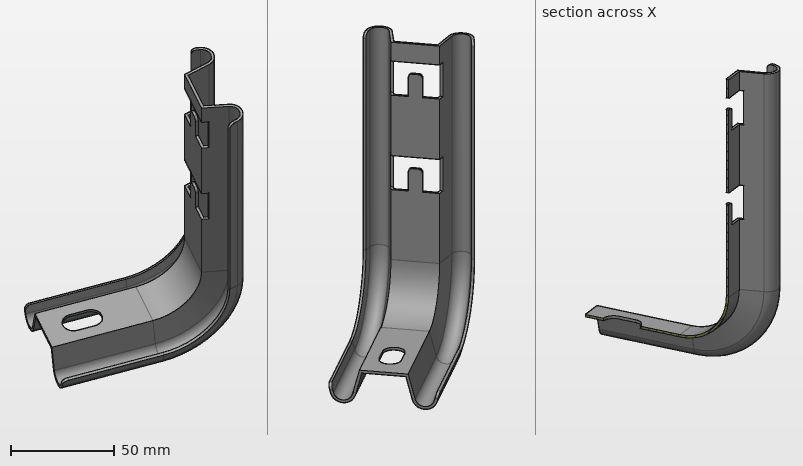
import cadquery as cq
import math

sheet = 1.5
width = 55.0
depth = 18.0
web_half = 12.0
flank_angle = math.radians(15.0)
roll_inner = 4.88

reach = 95.0
height = 158.0
bend_radius = 25.0
lip_corner_radius = 3.0

window_count = 2
window_pitch = 50.0
window_top_margin = 10.0
window_height = 18.0
window_depth = 3.5
tongue_width = 7.0
tongue_height = 12.0
tongue_corner_radius = 2.0

slot_length = 20.0
slot_width = 11.0
slot_end_distance = 20.0

sin_a = math.sin(flank_angle)
cos_a = math.cos(flank_angle)
tan_a = math.tan(flank_angle)
roll_outer = roll_inner + sheet
roll_y = depth - roll_outer
roll_x = web_half + roll_y * tan_a + roll_inner / cos_a
lip_length = (width / 2 - roll_x - roll_outer * cos_a) / sin_a
web_back_half = web_half + sheet * tan_a - sheet / cos_a

leg_end_y = depth - reach
bend_center_z = depth + bend_radius


def roll_point(radius, side):
    """Tangent point of the roll with its flank (side -1) or its lip (side +1)."""
    return (roll_x + side * radius * cos_a, roll_y + radius * sin_a)


def lip_end(radius):
    """Corner of the lip end on the given roll surface."""
    x, y = roll_point(radius, 1)
    return (x + lip_length * sin_a, y - lip_length * cos_a)


def mirrored(point):
    return (-point[0], point[1])


def section():
    """Closed hat section, placed at the top of the vertical leg."""
    inner_crest = (roll_x, roll_y + roll_inner)
    outer_crest = (roll_x, depth)
    return (
        cq.Workplane("XY", origin=(0, 0, height))
        .moveTo(-web_half, 0)
        .lineTo(web_half, 0)
        .lineTo(*roll_point(roll_inner, -1))
        .threePointArc(inner_crest, roll_point(roll_inner, 1))
        .lineTo(*lip_end(roll_inner))
        .lineTo(*lip_end(roll_outer))
        .lineTo(*roll_point(roll_outer, 1))
        .threePointArc(outer_crest, roll_point(roll_outer, -1))
        .lineTo(web_back_half, sheet)
        .lineTo(-web_back_half, sheet)
        .lineTo(*mirrored(roll_point(roll_outer, -1)))
        .threePointArc(mirrored(outer_crest), mirrored(roll_point(roll_outer, 1)))
        .lineTo(*mirrored(lip_end(roll_outer)))
        .lineTo(*mirrored(lip_end(roll_inner)))
        .lineTo(*mirrored(roll_point(roll_inner, 1)))
        .threePointArc(mirrored(inner_crest), mirrored(roll_point(roll_inner, -1)))
        .close()
    )


def run_path():
    """Centre line of the web face: down the vertical leg, round the bend, out along -Y."""
    bend_mid = bend_radius * math.cos(math.pi / 4)
    return (
        cq.Workplane("YZ")
        .moveTo(0, height)
        .lineTo(0, bend_center_z)
        .threePointArc((bend_mid - bend_radius, bend_center_z - bend_mid), (-bend_radius, depth))
        .lineTo(leg_end_y, depth)
    )


def round_lip_corners(body):
    """Round the four lip corners at the free ends of the two legs."""
    inner_x, inner_y = lip_end(roll_inner)
    outer_x, outer_y = lip_end(roll_outer)
    tip_x = (inner_x + outer_x) / 2
    tip_y = (inner_y + outer_y) / 2
    for side in (-1, 1):
        for tip in ((side * tip_x, tip_y, height), (side * tip_x, leg_end_y, depth - tip_y)):
            edge = cq.selectors.NearestToPointSelector(tip)
            body = body.edges(edge).fillet(lip_corner_radius)
    return body


def hook_window(top_z):
    """Cutter for a window across web and flanks that leaves a tongue standing in the web."""
    bottom_z = top_z - window_height
    opening = (
        cq.Workplane("XY", origin=(0, 0, bottom_z))
        .box(2 * roll_x, window_depth, window_height, centered=(True, False, False))
    )
    tongue = (
        cq.Workplane("XY", origin=(0, 0, bottom_z))
        .box(tongue_width, sheet, tongue_height, centered=(True, False, False))
        .edges("|Y and >Z")
        .fillet(tongue_corner_radius)
    )
    return opening.cut(tongue)


def leg_slot():
    """Cutter for the round-ended slot through the web of the horizontal leg."""
    return (
        cq.Workplane("XY", origin=(0, leg_end_y + slot_end_distance, depth - sheet))
        .slot2D(slot_length, slot_width, 90)
        .extrude(sheet)
    )


result = round_lip_corners(section().sweep(run_path()))
for index in range(window_count):
    result = result.cut(hook_window(height - window_top_margin - index * window_pitch))
result = result.cut(leg_slot())